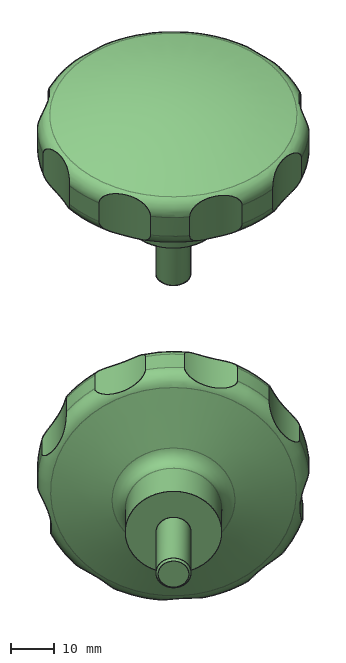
import math

import cadquery as cq

HEAD_RADIUS = 31.0
HEAD_TOP_Z = 35.0
RIM_FILLET = 4.0
RIM_LAND_TOP_Z = 26.95
UNDERSIDE_ANGLE = math.radians(14.5)

HUB_RADIUS = 11.0
HUB_STRAIGHT_HEIGHT = 9.9
HUB_FILLET = 4.0

SCALLOP_COUNT = 9
SCALLOP_FLOOR_RADIUS = 29.1
SCALLOP_HALF_WIDTH = 6.3
FIRST_SCALLOP_ANGLE = -90.0

STUD_RADIUS = 4.0
STUD_LENGTH = 18.0
STUD_CHAMFER = 0.5


def point_on_circle(center, radius, angle):
    """Point of a circle at an angle in radians from the +X direction."""
    x, z = center
    return (x + radius * math.cos(angle), z + radius * math.sin(angle))


def make_head_and_hub():
    """Revolve the dome, rim, conical underside and hub about Z."""
    rim_center_x = HEAD_RADIUS - RIM_FILLET
    upper_center = (rim_center_x, RIM_LAND_TOP_Z)

    center_drop = HEAD_TOP_Z - RIM_LAND_TOP_Z
    dome_radius = (rim_center_x**2 + center_drop**2 - RIM_FILLET**2) / (2 * (center_drop - RIM_FILLET))
    dome_center = (0, HEAD_TOP_Z - dome_radius)
    dome_edge_angle = math.acos(rim_center_x / (dome_radius - RIM_FILLET))
    dome_edge = point_on_circle(dome_center, dome_radius, dome_edge_angle)
    dome_middle = point_on_circle(dome_center, dome_radius, (dome_edge_angle + math.pi / 2) / 2)
    upper_rim_middle = point_on_circle(upper_center, RIM_FILLET, dome_edge_angle / 2)

    hub_center = (HUB_RADIUS + HUB_FILLET, HUB_STRAIGHT_HEIGHT)
    hub_end_angle = math.pi / 2 + UNDERSIDE_ANGLE
    cone_inner = point_on_circle(hub_center, HUB_FILLET, hub_end_angle)
    hub_middle = point_on_circle(hub_center, HUB_FILLET, (hub_end_angle + math.pi) / 2)

    rim_end_angle = UNDERSIDE_ANGLE - math.pi / 2
    cone_outer_x = rim_center_x + RIM_FILLET * math.cos(rim_end_angle)
    cone_outer_z = cone_inner[1] + (cone_outer_x - cone_inner[0]) * math.tan(UNDERSIDE_ANGLE)
    land_bottom_z = cone_outer_z - RIM_FILLET * math.sin(rim_end_angle)
    lower_center = (rim_center_x, land_bottom_z)
    lower_rim_middle = point_on_circle(lower_center, RIM_FILLET, rim_end_angle / 2)

    profile = (
        cq.Workplane("XZ")
        .moveTo(0, 0)
        .lineTo(HUB_RADIUS, 0)
        .lineTo(HUB_RADIUS, HUB_STRAIGHT_HEIGHT)
        .threePointArc(hub_middle, cone_inner)
        .lineTo(cone_outer_x, cone_outer_z)
        .threePointArc(lower_rim_middle, (HEAD_RADIUS, land_bottom_z))
        .lineTo(HEAD_RADIUS, RIM_LAND_TOP_Z)
        .threePointArc(upper_rim_middle, dome_edge)
        .threePointArc(dome_middle, (0, HEAD_TOP_Z))
        .close()
    )
    return profile.revolve(360, (0, 0, 0), (0, 1, 0))


def make_scallop_cutters():
    """Vertical cylinders whose arcs hollow the rim to the scallop floor."""
    chord_radius = math.sqrt(HEAD_RADIUS**2 - SCALLOP_HALF_WIDTH**2)
    depth = chord_radius - SCALLOP_FLOOR_RADIUS
    cutter_radius = (SCALLOP_HALF_WIDTH**2 + depth**2) / (2 * depth)
    cutter_distance = SCALLOP_FLOOR_RADIUS + cutter_radius
    return (
        cq.Workplane("XY")
        .polarArray(cutter_distance, FIRST_SCALLOP_ANGLE, 360, SCALLOP_COUNT)
        .circle(cutter_radius)
        .extrude(HEAD_TOP_Z, combine=False)
    )


def make_stud():
    """Plain stud below the hub with a chamfered tip."""
    return (
        cq.Workplane("XY")
        .circle(STUD_RADIUS)
        .extrude(-STUD_LENGTH)
        .faces("<Z")
        .chamfer(STUD_CHAMFER)
    )


result = make_head_and_hub().cut(make_scallop_cutters()).union(make_stud())